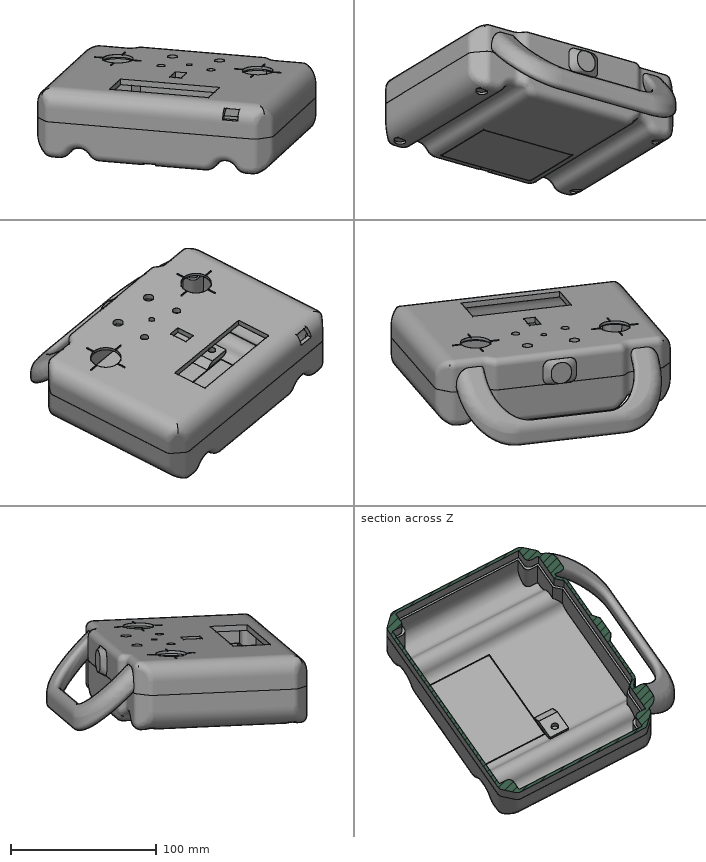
import cadquery as cq
import math

case_width = 170.0
case_depth = 127.3
top_z = 22.0
bottom_z = -26.3
half_width = case_width / 2
case_height = top_z - bottom_z

side_top_radius = 12.2
side_bottom_radius = 14.0
front_top_radius = 12.2
end_fillet = 5.0
corner_chamfer = 9.5
corner_round = 5.0

arch_x = 52.8
arch_start_x = 38.2
arch_height = 7.9
arch_radius = 8.8

step_depth = 5.0
step_x = 46.5
step_round = 5.2
seat_y = case_depth - step_depth

skin = 4.0
upper_side_wall = 2.5
lower_side_wall = 4.0

post_width = 15.0
post_depth = 13.3
post_round = 4.0

handle_half_width = 73.3
handle_end_y = 157.36
handle_thickness = 12.0
handle_outer_radius = 34.8
handle_inner_half_width = 53.2
handle_inner_end_y = 150.0
handle_inner_radius = 25.0
handle_outer_top_round = 9.0
handle_inner_bottom_round = 8.5
handle_narrow_round = 2.79
handle_root = 1.0

bump_height = 3.6
bump_base = (24.0, 18.4)
bump_tip = (14.6, 15.4)
bump_base_corner = 5.0
bump_tip_corner = 7.0
bump_lead_in = 1.5
bump_z = 8.6

stick_holes = [(-51.4, 90.8), (49.3, 90.8)]
stick_hole_diameter = 21.0
stick_seat_diameter = 27.65
stick_lip = 2.0
mark_length = 33.4
mark_width = 0.5
mark_depth = 0.5
round_holes = [
    (-17.0, 107.0, 7.0),
    (17.0, 107.0, 7.0),
    (-17.9, 83.2, 5.5),
    (17.9, 83.2, 5.5),
    (0.0, 91.0, 4.0),
]
display_size = (71.3, 26.3)
display_centre = (0.65, 30.05)
switch_size = (8.2, 13.5)
switch_centre = (0.0, 64.5)

socket_width = 10.9
socket_height = 7.2
socket_x = 56.9
socket_z = 15.5
socket_depth = 12.0

door_width = 74.0
door_front_y = 8.0
door_back_y = 59.4
door_gap = 0.4
notch_width = 9.0
notch_x = -1.9
notch_depth = 1.8
block_top = (15.3, 15.0)
block_height = 4.0
block_slope = 6.0
block_centre = (36.0, 67.5)
block_hole_diameter = 5.0
block_hole_x = 37.5

foot_diameter = 8.0
foot_depth = 1.8
foot_x = 73.5
foot_ys = (10.8, 110.6)


def heel_round():
    """Radius and turn of the convex round that leads from the flat floor into an arch."""
    run = arch_x - arch_start_x
    radius_sum = (run ** 2 + arch_height ** 2) / (2 * arch_height)
    return radius_sum - arch_radius, math.asin(run / radius_sum)


def corner_mid(x, z, side, up, radius):
    """Middle point of the quarter round in the corner (x, z) of an outline."""
    shift = radius * (1 - math.sqrt(0.5))
    return (x - side * shift, z - up * shift)


def front_profile(side_inset=0.0, roof=top_z, floor=bottom_z):
    """Outline of the case in the XZ plane: rounded sides and two arches in the floor."""
    heel_radius, heel_turn = heel_round()
    side = half_width - side_inset
    top_radius = side_top_radius - side_inset
    bottom_radius = side_bottom_radius - side_inset
    arch_end_x = 2 * arch_x - arch_start_x

    def heel(x, direction, turn):
        return (x + direction * heel_radius * math.sin(turn), floor + heel_radius * (1 - math.cos(turn)))

    outline = cq.Workplane("XZ").moveTo(-side + bottom_radius, floor)
    for first_x, last_x in ((-arch_end_x, -arch_start_x), (arch_start_x, arch_end_x)):
        crown = ((first_x + last_x) / 2, floor + arch_height)
        outline = (
            outline.lineTo(first_x, floor)
            .threePointArc(heel(first_x, 1, heel_turn / 2), heel(first_x, 1, heel_turn))
            .threePointArc(crown, heel(last_x, -1, heel_turn))
            .threePointArc(heel(last_x, -1, heel_turn / 2), (last_x, floor))
        )
    return (
        outline.lineTo(side - bottom_radius, floor)
        .threePointArc(corner_mid(side, floor, 1, -1, bottom_radius), (side, floor + bottom_radius))
        .lineTo(side, roof - top_radius)
        .threePointArc(corner_mid(side, roof, 1, 1, top_radius), (side - top_radius, roof))
        .lineTo(-side + top_radius, roof)
        .threePointArc(corner_mid(-side, roof, -1, 1, top_radius), (-side, roof - top_radius))
        .lineTo(-side, floor + bottom_radius)
        .threePointArc(corner_mid(-side, floor, -1, -1, bottom_radius), (-side + bottom_radius, floor))
        .close()
    )


def upright(outline):
    """Turn an open plan outline into a prism taller than the case."""
    return outline.close().extrude(2 * case_height).translate((0, 0, -case_height))


def stepped_plan():
    """Prism with the stepped back wall; its sides lie outside the case."""
    step_end_x = step_x + step_depth
    prism = upright(
        cq.Workplane("XY").polyline([
            (-case_width, 0), (case_width, 0), (case_width, seat_y), (step_end_x, seat_y),
            (step_x, case_depth), (-step_x, case_depth), (-step_end_x, seat_y), (-case_width, seat_y),
        ])
    )
    step_box = cq.selectors.BoxSelector(
        (-half_width, seat_y - 1, -2 * case_height), (half_width, case_depth + 1, 2 * case_height)
    )
    return prism.edges("|Z").edges(step_box).fillet(step_round)


def chamfered_plan(inset=0.0, crest_width=2 * step_x):
    """Prism with the four 45 degree corners; inset moves every side inward.

    The back stands out by step_depth over crest_width, with 45 degree steps at both ends.
    """
    side = half_width - inset
    back = seat_y - inset
    corner = corner_chamfer - inset * (2 - math.sqrt(2))
    crest_x = crest_width / 2 - inset * math.tan(math.pi / 8)
    right_side = [
        (side - corner, inset), (side, inset + corner), (side, back - corner), (side - corner, back),
        (crest_x + step_depth, back), (crest_x, back + step_depth),
    ]
    left_side = [(-x, y) for x, y in reversed(right_side)]
    return upright(cq.Workplane("XY").polyline(right_side + left_side))


def front_top_waste(front=0.0, roof=top_z):
    """Material outside the large round between a front wall and a roof."""
    radius = front_top_radius - front
    margin = 2 * skin
    return (
        cq.Workplane("YZ", origin=(-case_width, 0, 0))
        .moveTo(front - margin, roof - radius)
        .lineTo(front, roof - radius)
        .threePointArc(corner_mid(front, roof, -1, 1, radius), (front + radius, roof))
        .lineTo(front + radius, roof + margin)
        .lineTo(front - margin, roof + margin)
        .close()
        .extrude(2 * case_width)
    )


def corner_plan():
    """Prism that cuts the four corners at 45 degrees and passes the stepped back wall."""
    def prism(width, depth):
        return cq.Workplane("XY").box(width, depth, 2 * case_height).translate((0, depth / 2, 0))

    core = prism(case_width, seat_y).edges("|Z").chamfer(corner_chamfer)
    return core.union(prism(case_width - 2 * corner_chamfer, case_depth))


def is_back_outline(edge):
    """True for the edges around the back wall, false for the upright edges of its steps."""
    upright_line = edge.geomType() == "LINE" and abs(edge.tangentAt(0).z) > 0.9
    on_step = abs(edge.Center().x) < half_width - 1
    return edge.BoundingBox().ymin > seat_y - 0.01 and not (upright_line and on_step)


def face_towards(body, direction):
    """The outermost face of a body in a direction."""
    return body.faces(cq.selectors.DirectionMinMaxSelector(cq.Vector(direction), True))


def solid_case():
    """The whole case as one filled solid."""
    body = front_profile().extrude(-case_depth).intersect(stepped_plan())
    body = body.faces("<Y").edges().fillet(end_fillet)
    back_edges = [edge for edge in body.edges().vals() if is_back_outline(edge)]
    body = body.newObject(back_edges).fillet(end_fillet)
    body = body.cut(front_top_waste()).intersect(corner_plan())
    for normal in ((-1, -1, 0), (-1, 1, 0)):
        body = face_towards(body, normal).edges().fillet(corner_round)
    right_side = cq.Workplane("XY").box(case_width, 4 * case_depth, 2 * case_height)
    left_half = body.cut(right_side.translate((half_width, 0, 0)))
    return left_half.union(left_half.mirror("YZ")).clean()


def corner_posts(wall):
    """Prisms that fill the four corners of the hollow; a thicker wall moves their faces inward."""
    shift = wall - lower_side_wall
    width = post_width + shift
    depth = post_depth + shift
    post = cq.Workplane("XY").box(2 * width, 2 * depth, 2 * case_height).edges("|Z").fillet(post_round)
    left = post.translate((-half_width, 0, 0)).union(post.translate((-half_width, seat_y, 0)))
    return left.union(left.mirror("YZ"))


def cavity(wall):
    """The hollow inside the case, for a given thickness of its upright walls."""
    room = front_profile(wall, top_z - skin, bottom_z + skin).extrude(-case_depth)
    room = room.intersect(chamfered_plan(wall)).cut(front_top_waste(wall, top_z - skin))
    return room.cut(corner_posts(wall))


def half_space(sign):
    """Block that fills one side of the joint plane, +1 above it and -1 below it."""
    return (
        cq.Workplane("XY")
        .box(2 * case_width, 4 * case_depth, 2 * case_height)
        .translate((0, 0, sign * case_height))
    )


def handle_outline(half_span, end_y, radius):
    """Plan of a U shape that starts inside the back wall and ends in two rounded corners."""
    turn = radius * (1 - math.sqrt(0.5))
    start_y = seat_y - handle_thickness
    return upright(
        cq.Workplane("XY")
        .moveTo(-half_span, start_y)
        .lineTo(-half_span, end_y - radius)
        .threePointArc((-half_span + turn, end_y - turn), (-half_span + radius, end_y))
        .lineTo(half_span - radius, end_y)
        .threePointArc((half_span - turn, end_y - turn), (half_span, end_y - radius))
        .lineTo(half_span, start_y)
    )


def handle():
    """U-shaped band that leans down at 45 degrees and starts just inside the seat wall."""
    rise = handle_thickness * math.sqrt(2)
    reach = handle_end_y - seat_y + 1
    slab = (
        cq.Workplane("YZ", origin=(-case_width, 0, 0))
        .polyline([
            (seat_y - handle_thickness, handle_thickness), (seat_y + reach, -reach),
            (seat_y + reach, rise - reach), (seat_y - handle_thickness, rise + handle_thickness),
        ])
        .close()
        .extrude(2 * case_width)
    )
    plate = slab.intersect(handle_outline(handle_half_width, handle_end_y, handle_outer_radius))
    plate = plate.cut(handle_outline(handle_inner_half_width, handle_inner_end_y, handle_inner_radius))

    def fillet_rim(band, face_direction, span, radius):
        legs = [
            edge for edge in face_towards(band, face_direction).edges().vals()
            if edge.geomType() == "LINE" and abs(edge.tangentAt(0).x) < 0.1
            and abs(abs(edge.Center().x) - span) < 0.1
        ]
        return band.newObject(legs).fillet(radius)

    top = (0, 1, 1)
    bottom = (0, -1, -1)
    plate = fillet_rim(plate, top, handle_half_width, handle_outer_top_round)
    plate = fillet_rim(plate, bottom, handle_half_width, handle_narrow_round)
    plate = fillet_rim(plate, top, handle_inner_half_width, handle_narrow_round)
    plate = fillet_rim(plate, bottom, handle_inner_half_width, handle_inner_bottom_round)
    inside = cq.Workplane("XY").box(2 * case_width, 2 * (seat_y - handle_root), 4 * case_height)
    return plate.cut(inside)


def bump():
    """Tapered boss on the back wall, from inside the wall out to its flat tip."""
    base = cq.Sketch().rect(*bump_base).vertices().fillet(bump_base_corner)
    tip = cq.Sketch().rect(*bump_tip).vertices().fillet(bump_tip_corner)
    taper = (
        cq.Workplane("XZ", origin=(0, case_depth, bump_z))
        .placeSketch(base, tip.moved(cq.Location(cq.Vector(0, 0, -bump_height))))
        .loft()
    )
    root = cq.Workplane("XZ", origin=(0, case_depth, bump_z)).placeSketch(base).extrude(bump_lead_in)
    return taper.union(root)


def top_pocket(centre, depth):
    """Workplane below a point of the roof, from which cutters grow upward."""
    return cq.Workplane("XY", origin=(*centre, top_z - depth))


def roof_openings():
    """Everything cut into the roof of the upper shell."""
    through = skin + 1
    cutters = [
        top_pocket(display_centre, through).rect(*display_size).extrude(2 * through),
        top_pocket(switch_centre, through).rect(*switch_size).extrude(2 * through),
    ]
    for x, y, diameter in round_holes:
        cutters.append(top_pocket((x, y), through).circle(diameter / 2).extrude(2 * through))
    for centre in stick_holes:
        cutters.append(top_pocket(centre, through).circle(stick_hole_diameter / 2).extrude(2 * through))
        seat = top_pocket(centre, through).circle(stick_seat_diameter / 2).extrude(through - stick_lip)
        cutters.append(seat)
        for size in ((mark_length, mark_width), (mark_width, mark_length)):
            cutters.append(top_pocket(centre, mark_depth).rect(*size).extrude(2 * mark_depth))
    return cutters


def upper_shell(case):
    """Upper half of the case with the handle, the bump and all top openings."""
    shell = case.intersect(half_space(1)).cut(cavity(upper_side_wall))
    shell = shell.union(handle()).union(bump())
    for cutter in roof_openings():
        shell = shell.cut(cutter)
    socket = cq.Workplane("XY").box(socket_width, 2 * socket_depth, socket_height)
    return shell.cut(socket.translate((socket_x, 0, socket_z)))


def door_blank(gap):
    """Plate through the floor between the arches, grown by gap on every side."""
    length = door_back_y - door_front_y
    return (
        cq.Workplane("XY", origin=(0, door_front_y + length / 2, bottom_z))
        .rect(door_width + 2 * gap, length + 2 * gap)
        .extrude(skin)
    )


def screw_block():
    """Block on the floor with one sloped end, and the screw hole that enters it from above."""
    base_z = bottom_z + skin
    length, width = block_top
    block = (
        cq.Workplane("XZ", origin=(block_centre[0], block_centre[1] + width / 2, base_z))
        .polyline([
            (-length / 2 - block_slope, 0), (length / 2, 0),
            (length / 2, block_height), (-length / 2, block_height),
        ])
        .close()
        .extrude(width)
    )
    hole = (
        cq.Workplane("XY", origin=(block_hole_x, block_centre[1], base_z))
        .circle(block_hole_diameter / 2)
        .extrude(block_height)
    )
    return block, hole


def lower_shell(case):
    """Lower half of the case with the door opening, the notch and the foot recesses."""
    shell = case.intersect(half_space(-1)).cut(cavity(lower_side_wall))
    block, hole = screw_block()
    shell = shell.union(block).cut(hole)
    shell = shell.cut(door_blank(door_gap))
    notch = cq.Workplane("XY").box(notch_width, 2 * door_front_y, 2 * notch_depth)
    shell = shell.cut(notch.translate((notch_x, 0, bottom_z)))
    feet = (
        cq.Workplane("XY", origin=(0, 0, bottom_z))
        .pushPoints([(side * foot_x, y) for side in (-1, 1) for y in foot_ys])
        .circle(foot_diameter / 2)
        .extrude(foot_depth)
    )
    return shell.cut(feet)


def battery_door():
    """Flat plate that closes the opening in the floor."""
    return door_blank(0)


case = solid_case()
upper = upper_shell(case)
lower = lower_shell(case)
door = battery_door()

result = cq.Compound.makeCompound([upper.val(), lower.val(), door.val()])